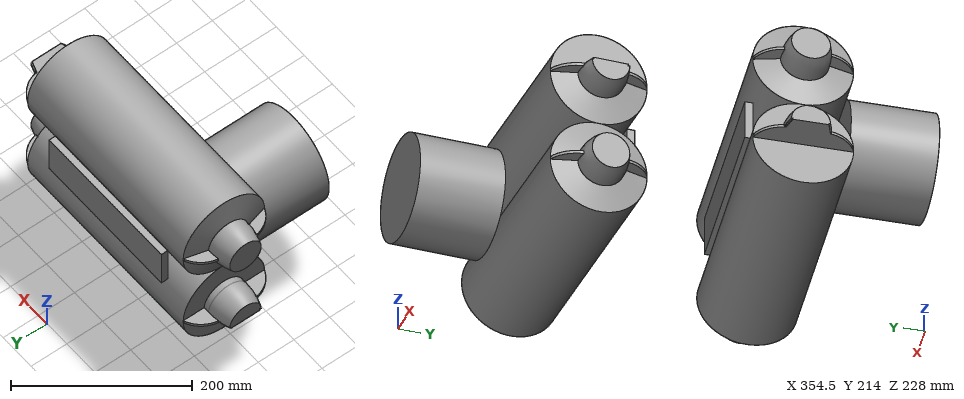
import cadquery as cq
import math

overall_length = 354.5
stack_height = 228.0
overall_depth = 214.0

bottle_radius = stack_height / 4
neck_length = 38.5
barrel_half_length = overall_length / 2 - neck_length
shoulder_length = 7.8
neck_root_radius = 27.5
neck_bulge_radius = 26.5
neck_bulge_position = 23.0
neck_tip_radius = 22.0

web_thickness = 3.5
dome_mid_position = 15.0
dome_mid_radius = 46.0
dome_end_position = 24.0
dome_end_radius = 25.0
web_tip_radius = 20.2

drum_radius = 62.8
drum_length = 100.0
drum_center_x = -63.8

plate_length = 200.0
plate_height = 52.0
plate_back_y = overall_depth - drum_length - bottle_radius
contact_drop = bottle_radius - plate_height / 2
plate_front_y = math.sqrt(bottle_radius**2 - contact_drop**2)


def make_neck(sweep_angle, with_shoulder):
    """Neck on the +X axis; a half sweep gives only the lower half."""
    root_radius = bottle_radius if with_shoulder else neck_root_radius
    outline = (
        cq.Workplane("XY")
        .lineTo(0, root_radius)
        .lineTo(shoulder_length, neck_root_radius)
        .threePointArc((neck_bulge_position, neck_bulge_radius), (neck_length, neck_tip_radius))
        .lineTo(neck_length, 0)
        .close()
    )
    return outline.revolve(sweep_angle, (0, 0, 0), (-1, 0, 0))


def make_web():
    """Domed half outline, mirrored about the bottle axis and given its thickness."""
    half = (
        cq.Workplane("XY", origin=(0, 0, -web_thickness / 2))
        .lineTo(0, bottle_radius)
        .threePointArc((dome_mid_position, dome_mid_radius), (dome_end_position, dome_end_radius))
        .lineTo(neck_length, web_tip_radius)
        .lineTo(neck_length, 0)
        .close()
        .extrude(web_thickness)
    )
    return half.union(half.mirror("XZ"))


def make_bottle_end(sweep_angle, with_shoulder=True):
    """Complete end pointing along +X, with its root at the end of the barrel."""
    end = make_neck(sweep_angle, with_shoulder).union(make_web())
    return end.translate((barrel_half_length, 0, 0))


def make_barrel():
    """Plain cylinder on the X axis, centred on the origin."""
    return cq.Workplane("YZ").circle(bottle_radius).extrude(barrel_half_length, both=True)


def make_upper_bottle():
    """Full neck at -X and a lower half neck at +X."""
    full_end = make_bottle_end(360).mirror("YZ")
    half_end = make_bottle_end(180)
    bottle = make_barrel().union(full_end).union(half_end)
    return bottle.translate((0, 0, bottle_radius))


def make_lower_bottle():
    """Full neck at +X and an upper half neck without a shoulder at -X."""
    full_end = make_bottle_end(360)
    half_end = make_bottle_end(180, with_shoulder=False).rotate((0, 0, 0), (0, 1, 0), 180)
    bottle = make_barrel().union(full_end).union(half_end)
    return bottle.translate((0, 0, -bottle_radius))


def make_drum():
    """Solid drum whose back face is tangent to both bottles."""
    face = cq.Workplane("XZ", origin=(drum_center_x, -bottle_radius, 0))
    return face.circle(drum_radius).extrude(drum_length)


def make_plate():
    """Plate centred along the barrels, its two front edges resting on the bottles."""
    thickness = plate_back_y - plate_front_y
    plate = cq.Workplane("XY").box(plate_length, thickness, plate_height)
    return plate.translate((0, (plate_front_y + plate_back_y) / 2, 0))


upper_bottle = make_upper_bottle()
lower_bottle = make_lower_bottle()
drum = make_drum()
plate = make_plate()

result = cq.Compound.makeCompound(
    [upper_bottle.val(), lower_bottle.val(), drum.val(), plate.val()]
)